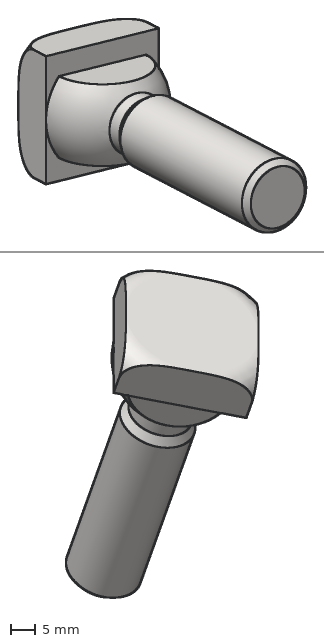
import cadquery as cq
import math

head_width = 28.0
head_thickness = 10.0

seat_radius = head_width / 2
seat_flat_distance = 17.9

total_length = 73
shank_diameter = 16.0
neck_diameter = 13.5
neck_end_x = 25.85
neck_taper_angle = 30
tip_chamfer_length = 1.3
tip_chamfer_depth = 1.3


def make_head():
    """Square block whose front corners are rounded by a surface of revolution about X."""
    block = cq.Workplane("YZ").rect(head_width, head_width).extrude(head_thickness)
    front_face_radius = head_width / 2
    corner_radius = head_width / math.sqrt(2)
    rounding_radius = corner_radius - front_face_radius
    envelope = (
        cq.Workplane("YZ")
        .circle(corner_radius)
        .extrude(head_thickness)
        .faces("<X")
        .edges()
        .fillet(rounding_radius)
    )
    return block.intersect(envelope)


def make_seat():
    """Hemisphere centred on the back of the head, cut to parallel flats."""
    sphere = cq.Workplane("XY").sphere(seat_radius)
    flats = cq.Workplane("XY").box(
        seat_radius, head_width, seat_flat_distance, centered=(False, True, True)
    )
    return sphere.intersect(flats).translate((head_thickness, 0, 0))


def make_shank():
    """Neck, taper, cylindrical shank and chamfered tip, turned about X."""
    neck_radius = neck_diameter / 2
    shank_radius = shank_diameter / 2
    taper_length = (shank_radius - neck_radius) / math.tan(math.radians(neck_taper_angle))
    return (
        cq.Workplane("XY")
        .moveTo(head_thickness, 0)
        .lineTo(head_thickness, neck_radius)
        .lineTo(neck_end_x, neck_radius)
        .lineTo(neck_end_x + taper_length, shank_radius)
        .lineTo(total_length - tip_chamfer_length, shank_radius)
        .lineTo(total_length, shank_radius - tip_chamfer_depth)
        .lineTo(total_length, 0)
        .close()
        .revolve(360, (0, 0, 0), (1, 0, 0))
    )


result = make_head().union(make_seat()).union(make_shank())